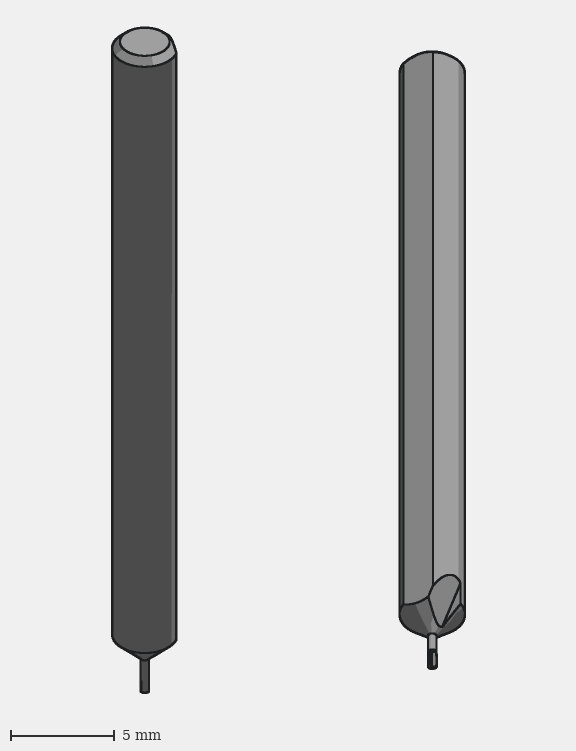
import cadquery as cq
import math

total_length = 38.1
shank_diameter = 3.15
shank_radius = shank_diameter / 2
shank_depth = 2.95
flat_y = shank_depth - shank_radius
top_chamfer = 0.4

pin_radius = 0.21
pin_bottom = 0.15
cone_bottom = 2.05
cone_top = cone_bottom + shank_radius - pin_radius

relief_top = 4.88
relief_lean = 23.0
relief_turn = 16.0
relief_size = 4 * shank_radius

tooth_reach = 0.25
tooth_top = 0.75
tooth_inner_x = 0.08
rake_top = 1.03


def make_body():
    """Shank, cone and pin turned about the Z axis."""
    profile = [
        (0, pin_bottom),
        (pin_radius, pin_bottom),
        (pin_radius, cone_bottom),
        (shank_radius, cone_top),
        (shank_radius, total_length - top_chamfer),
        (shank_radius - top_chamfer, total_length),
        (0, total_length),
    ]
    return cq.Workplane("XZ").polyline(profile).close().revolve(360, (0, 0), (0, 1))


def make_clamping_flat():
    """Material removed by the full-length flat on the +Y side."""
    return cq.Workplane("XY").box(
        shank_diameter, shank_radius, total_length, centered=(True, False, False)
    ).translate((0, flat_y, 0))


def make_shank_relief():
    """Wedge under the leaning relief plane, ending at a wall on Y = 0."""
    run = relief_top * math.tan(math.radians(relief_lean))
    wedge = (
        cq.Workplane("XZ")
        .polyline([
            (-shank_radius, relief_top),
            (-shank_radius + run, 0),
            (-relief_size, 0),
            (-relief_size, relief_top),
        ])
        .close()
        .extrude(relief_size, both=True)
        .rotate((0, 0, 0), (0, 0, 1), -relief_turn)
    )
    quadrant = cq.Workplane("XY").box(
        relief_size, relief_size, relief_top - cone_bottom, centered=False
    ).translate((-relief_size, 0, cone_bottom))
    return wedge.intersect(quadrant)


def make_chip_space():
    """Quarter of the pin removed in front of the tooth face."""
    return cq.Workplane("XY").box(
        pin_radius, pin_radius, rake_top, centered=False
    ).translate((-pin_radius, 0, 0))


def make_tooth():
    """Tooth with its face on Y = 0, a backed-off flank and a pointed lower corner."""
    side = [
        (-tooth_reach, 0),
        (tooth_inner_x, pin_bottom),
        (tooth_inner_x, tooth_top),
        (-tooth_reach, tooth_top),
    ]
    blank = cq.Workplane("XZ").polyline(side).close().extrude(pin_radius)
    plan = [(-tooth_reach, 0), (tooth_inner_x, 0), (tooth_inner_x, -pin_radius)]
    flank = cq.Workplane("XY").polyline(plan).close().extrude(tooth_top)
    return blank.intersect(flank)


result = (
    make_body()
    .cut(make_clamping_flat())
    .cut(make_shank_relief())
    .cut(make_chip_space())
    .union(make_tooth())
)